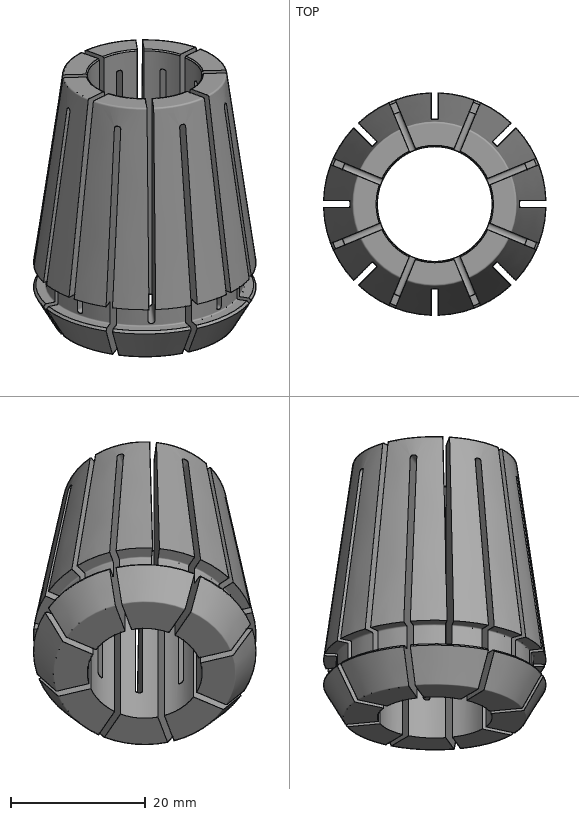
import cadquery as cq
import math

height = 40.0
max_diameter = 33.0
bore_diameter = 17.0

taper_half_angle = 8.0
taper_bottom_z = 9.1

neck_diameter = 29.25
flange_top_z = 5.5
flange_edge_z = 5.15
flange_chamfer_width = 0.35
nose_half_angle = 30.0

groove_fillet = 0.2
nose_bottom_fillet = 0.2

top_outer_fillet = 0.3
bore_chamfer = 0.2

slots_per_set = 8
slot_width = 1.0
slot_corner_radius = 0.45
lower_slot_top_z = 37.0
upper_slot_bottom_z = 6.0

max_radius = max_diameter / 2
bore_radius = bore_diameter / 2
neck_radius = neck_diameter / 2
nose_bottom_radius = max_radius - flange_edge_z * math.tan(math.radians(nose_half_angle))


def taper_radius(z):
    """Outer radius of the clamping taper at height z."""
    return max_radius - (z - taper_bottom_z) * math.tan(math.radians(taper_half_angle))


def circular_edges(body, radius):
    """Select the circular edges of the body that have the given radius."""
    tolerance = 0.0005
    edges = body.edges("%CIRCLE")
    return edges.filter(lambda edge: abs(edge.radius() - radius) < tolerance)


def make_body():
    """Revolved collet sleeve without slots."""
    profile = [
        (bore_radius, 0),
        (nose_bottom_radius, 0),
        (max_radius, flange_edge_z),
        (max_radius - flange_chamfer_width, flange_top_z),
        (neck_radius, flange_top_z),
        (neck_radius, taper_bottom_z),
        (max_radius, taper_bottom_z),
        (taper_radius(height), height),
        (bore_radius + bore_chamfer, height),
        (bore_radius, height - bore_chamfer),
    ]
    body = cq.Workplane("XZ").polyline(profile).close().revolve(360, (0, 0), (0, 1))
    groove_corners = circular_edges(body, neck_radius)
    body = groove_corners.fillet(groove_fillet)
    nose_bottom_edge = circular_edges(body, nose_bottom_radius)
    body = nose_bottom_edge.fillet(nose_bottom_fillet)
    top_outer_edge = circular_edges(body, taper_radius(height))
    return top_outer_edge.fillet(top_outer_fillet)


def make_slot_cutter(closed_end_z, open_end_z, angle):
    """Radial cutter with rounded corners at its closed end, turned about Z by angle."""
    middle_z = (closed_end_z + open_end_z) / 2
    closed_end_edges = "|X and >Z" if closed_end_z > open_end_z else "|X and <Z"
    cutter = (
        cq.Workplane("YZ")
        .center(0, middle_z)
        .rect(slot_width, abs(closed_end_z - open_end_z))
        .extrude(max_diameter)
        .edges(closed_end_edges)
        .fillet(slot_corner_radius)
    )
    return cutter.rotate((0, 0, 0), (0, 0, 1), angle)


slot_pitch = 360 / slots_per_set

result = make_body()
for index in range(slots_per_set):
    lower_angle = index * slot_pitch
    upper_angle = lower_angle + slot_pitch / 2
    result = result.cut(make_slot_cutter(lower_slot_top_z, 0, lower_angle))
    result = result.cut(make_slot_cutter(upper_slot_bottom_z, height, upper_angle))